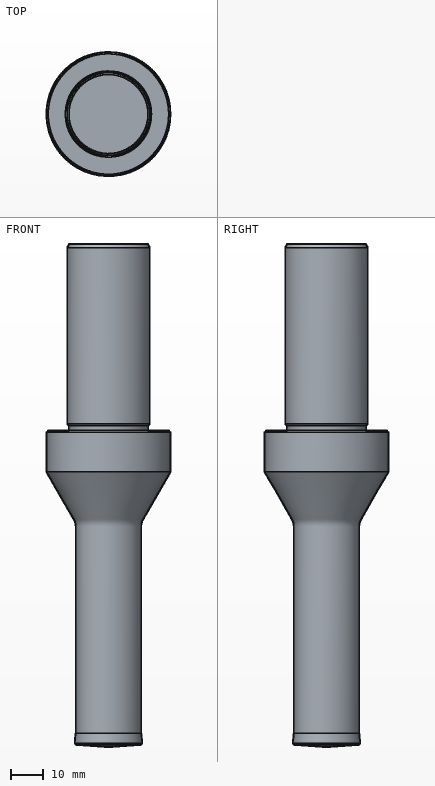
import cadquery as cq
import math

overall_length = 154.18
shank_length = 57.15
shank_diameter = 25.4
shank_chamfer_height = 1.2
shank_chamfer_width = 0.6

collar_diameter = 38.1
collar_height = 12.7
collar_chamfer = 0.6

relief_height = 2.0
relief_depth = 0.5
relief_taper_height = 0.6
relief_recess_depth = 0.3
relief_recess_width = 0.5

taper_half_angle = math.radians(30)
stem_diameter = 20.2
stem_fillet_radius = 3.8

tip_length = 4.3
tip_diameter = 20.75
tip_band_height = 0.5
tip_chamfer = 0.5
end_cone_height = 0.7

shank_radius = shank_diameter / 2
relief_radius = shank_radius - relief_depth
collar_radius = collar_diameter / 2
stem_radius = stem_diameter / 2
tip_radius = tip_diameter / 2

bottom_z = shank_length - overall_length
joint_z = bottom_z + tip_length
collar_bottom_z = -collar_height

corner_z = collar_bottom_z - (collar_radius - stem_radius) / math.tan(taper_half_angle)
fillet_end_z = corner_z - stem_fillet_radius * math.tan(taper_half_angle / 2)


def fillet_point(angle):
    """Point on the stem fillet, with the angle measured up from its lower end."""
    radius = stem_radius + stem_fillet_radius * (1 - math.cos(angle))
    return (radius, fillet_end_z + stem_fillet_radius * math.sin(angle))


def revolve_about_z(profile):
    """Turn a closed (radius, height) profile into a solid of revolution."""
    return profile.close().revolve(360, (0, 0, 0), (0, 1, 0))


def make_holder():
    """Shank, relief groove, collar, taper and stem as one turned body."""
    profile = (
        cq.Workplane("XZ")
        .moveTo(0, shank_length)
        .lineTo(shank_radius - shank_chamfer_width, shank_length)
        .lineTo(shank_radius, shank_length - shank_chamfer_height)
        .lineTo(shank_radius, relief_height)
        .lineTo(relief_radius, relief_height - relief_taper_height)
        .lineTo(relief_radius, -relief_recess_depth)
        .lineTo(shank_radius, -relief_recess_depth)
        .lineTo(shank_radius + relief_recess_width, 0)
        .lineTo(collar_radius - collar_chamfer, 0)
        .lineTo(collar_radius, -collar_chamfer)
        .lineTo(collar_radius, collar_bottom_z)
        .lineTo(*fillet_point(taper_half_angle))
        .threePointArc(fillet_point(taper_half_angle / 2), fillet_point(0))
        .lineTo(stem_radius, joint_z)
        .lineTo(0, joint_z)
    )
    return revolve_about_z(profile)


def make_tip():
    """Tip that flares out from the stem to a narrow chamfered band above the end cone."""
    chamfer_bottom_z = bottom_z + end_cone_height
    band_bottom_z = chamfer_bottom_z + tip_chamfer
    profile = (
        cq.Workplane("XZ")
        .moveTo(0, joint_z)
        .lineTo(stem_radius, joint_z)
        .lineTo(tip_radius, band_bottom_z + tip_band_height)
        .lineTo(tip_radius, band_bottom_z)
        .lineTo(tip_radius - tip_chamfer, chamfer_bottom_z)
        .lineTo(0, bottom_z)
    )
    return revolve_about_z(profile)


holder = make_holder()
tip = make_tip()

result = cq.Compound.makeCompound([holder.val(), tip.val()])